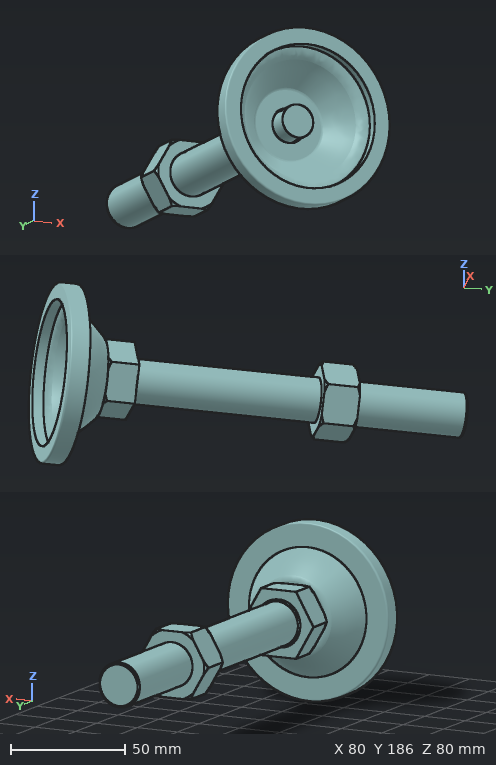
import cadquery as cq
import math

TOTAL_LENGTH = 186.0

RING_RADIUS = 40.0
RING_HEIGHT = 9.0
RING_EDGE_FILLET = 1.0
RING_BORE_RADIUS = 32.4

DISH_TOP = 22.5
DISH_THICKNESS = 2.8
DISH_TOP_RADIUS = 17.7
DISH_CONE_RADIUS = 28.8
DISH_BULGE = 0.7
DISH_TOP_FILLET = 3.3
DISH_FLOOR_FILLET = 1.5
DISH_LIP_FILLET = 5.5
FLANGE_BOTTOM = 5.0
FLANGE_RADIUS = 35.3

HEX_ACROSS_FLATS = 30.0
HEX_CORNER_RADIUS = HEX_ACROSS_FLATS / math.sqrt(3)
HEX_CHAMFER_RADIUS = 15.8
HEX_CHAMFER_HEIGHT = 1.3

ROD_RADIUS = 10.0
ROD_END_CHAMFER = 0.7
COLLAR_RADIUS = 10.8
COLLAR_HEIGHT = 1.0
SPINDLE_HEX_HEIGHT = 13.8
STEM_RADIUS = 7.5
STEM_BOTTOM = 10.2
HOLE_RADIUS = 7.8

NUT_BOTTOM = 120.0
NUT_HEIGHT = 16.0


def revolve_profile(profile):
    """Revolve a closed (radius, Y) profile about the Y axis."""
    return profile.close().revolve(360, (0, 0, 0), (0, 1, 0))


def cylinder(radius, bottom, top):
    """Solid cylinder along Y."""
    return cq.Workplane("XZ", origin=(0, bottom, 0)).circle(radius).extrude(bottom - top)


def hexagon(bottom, height, chamfer_top):
    """Hexagonal prism along Y with corners on X, its lower and optionally upper corners chamfered."""
    top = bottom + height
    prism = cq.Workplane("XZ", origin=(0, bottom, 0)).polygon(6, 2 * HEX_CORNER_RADIUS).extrude(-height)
    envelope = (
        cq.Workplane("XY")
        .moveTo(0, bottom)
        .lineTo(HEX_CHAMFER_RADIUS, bottom)
        .lineTo(HEX_CORNER_RADIUS, bottom + HEX_CHAMFER_HEIGHT)
    )
    if chamfer_top:
        envelope = envelope.lineTo(HEX_CORNER_RADIUS, top - HEX_CHAMFER_HEIGHT).lineTo(HEX_CHAMFER_RADIUS, top)
    else:
        envelope = envelope.lineTo(HEX_CORNER_RADIUS, top)
    return prism.intersect(revolve_profile(envelope.lineTo(0, top)))


def circle_edges(solid, radius, height):
    """Circular edges of the given radius at the given Y."""
    margin = 0.02
    corner = radius + margin
    box = cq.selectors.BoxSelector(
        (-corner, height - margin, -corner), (corner, height + margin, corner), boundingbox=True
    )
    rims = [
        edge for edge in solid.edges(box).vals()
        if edge.geomType() == "CIRCLE" and abs(edge.radius() - radius) < margin
    ]
    return solid.newObject(rims)


def make_dome(top, bottom, inset):
    """Solid bounded by the bulging cone of the dish between two Y levels, moved inward by inset."""
    slope = (DISH_CONE_RADIUS - DISH_TOP_RADIUS) / (DISH_TOP - RING_HEIGHT)
    top_radius = DISH_TOP_RADIUS + (DISH_TOP - top) * slope - inset
    foot_radius = DISH_TOP_RADIUS + (DISH_TOP - bottom) * slope - inset
    tilt = math.atan(slope)
    middle_radius = (top_radius + foot_radius) / 2 + DISH_BULGE * math.cos(tilt)
    middle_y = (top + bottom) / 2 + DISH_BULGE * math.sin(tilt)
    dome = revolve_profile(
        cq.Workplane("XY")
        .moveTo(0, top)
        .lineTo(top_radius, top)
        .threePointArc((middle_radius, middle_y), (foot_radius, bottom))
        .lineTo(0, bottom)
    )
    return dome, top_radius, foot_radius


def make_dish_envelope():
    """Dish without its cavity and stem hole."""
    flange_top = FLANGE_BOTTOM + DISH_THICKNESS
    dome, top_radius, _ = make_dome(DISH_TOP, flange_top, inset=0)
    dome = circle_edges(dome, top_radius, DISH_TOP).fillet(DISH_TOP_FILLET)
    return dome.union(cylinder(FLANGE_RADIUS, FLANGE_BOTTOM, flange_top))


def make_dish(envelope):
    """Bulging conical sheet with a flat top and a flange, pierced by the stem hole."""
    cone_tilt = math.atan2(DISH_CONE_RADIUS - DISH_TOP_RADIUS, DISH_TOP - RING_HEIGHT)
    cavity_top = DISH_TOP - DISH_THICKNESS
    cavity, top_radius, foot_radius = make_dome(
        cavity_top, FLANGE_BOTTOM, inset=DISH_THICKNESS / math.cos(cone_tilt)
    )
    dish = envelope.cut(cavity).cut(cylinder(HOLE_RADIUS, cavity_top, DISH_TOP))
    dish = circle_edges(dish, top_radius, cavity_top).fillet(DISH_FLOOR_FILLET)
    return circle_edges(dish, foot_radius, FLANGE_BOTTOM).fillet(DISH_LIP_FILLET)


def make_ring(dish_envelope):
    """Rubber ring moulded around the flange of the dish."""
    ring = cylinder(RING_RADIUS, 0, RING_HEIGHT).edges().fillet(RING_EDGE_FILLET)
    return ring.cut(cylinder(RING_BORE_RADIUS, 0, FLANGE_BOTTOM)).cut(dish_envelope)


def make_spindle():
    """Threaded rod (plain cylinder), hexagon and stem in one piece."""
    hex_top = DISH_TOP + SPINDLE_HEX_HEIGHT
    rod = cylinder(ROD_RADIUS, hex_top, TOTAL_LENGTH).faces(">Y").chamfer(ROD_END_CHAMFER)
    collar = revolve_profile(
        cq.Workplane("XY")
        .moveTo(0, hex_top)
        .lineTo(COLLAR_RADIUS, hex_top)
        .lineTo(ROD_RADIUS, hex_top + COLLAR_HEIGHT)
        .lineTo(0, hex_top + COLLAR_HEIGHT)
    )
    stem = cylinder(STEM_RADIUS, STEM_BOTTOM, DISH_TOP)
    return hexagon(DISH_TOP, SPINDLE_HEX_HEIGHT, chamfer_top=False).union(rod).union(collar).union(stem)


def make_lock_nut():
    """Hexagonal nut on the rod."""
    nut = hexagon(NUT_BOTTOM, NUT_HEIGHT, chamfer_top=True)
    return nut.cut(cylinder(ROD_RADIUS, NUT_BOTTOM, NUT_BOTTOM + NUT_HEIGHT))


dish_envelope = make_dish_envelope()
dish = make_dish(dish_envelope)
ring = make_ring(dish_envelope)
spindle = make_spindle()
lock_nut = make_lock_nut()

result = cq.Compound.makeCompound([dish.val(), ring.val(), spindle.val(), lock_nut.val()])